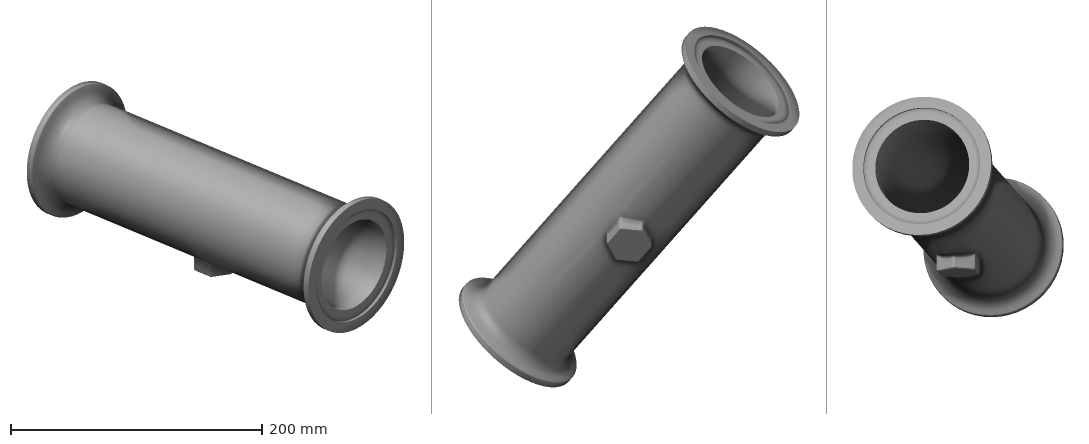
import cadquery as cq
import math

length = 304.8
bore_radius = 76.2 / 2
tube_radius = 86.3 / 2
flange_radius = 112.8 / 2
rim_width = 5.8
rim_chamfer = 0.5
recess_radius = 94.8 / 2
recess_depth = 2.5
neck_angle = 20.0
neck_radius = 12.2

boss_corner_radius = 18.3
boss_edge_fillet = 2.0
boss_bottom = -54.0
boss_root_fillet = 2.0
boss_rim_chamfer = 1.0
seam_margin = 0.3

half_length = length / 2


def make_flanged_tube():
    """Tube with a flange at each end, turned from one outline."""
    slope = math.radians(neck_angle)
    recess_x = half_length - recess_depth
    rim_x = half_length - rim_width
    back_radius = flange_radius - rim_chamfer
    root_x = rim_x - (back_radius - tube_radius) * math.tan(slope)
    tangent = neck_radius * math.tan((math.pi / 2 - slope) / 2)
    blend_x = root_x + tangent * math.sin(slope)
    blend_radius = tube_radius + tangent * math.cos(slope)
    neck_x = root_x - tangent

    outline = (
        cq.Workplane("XY")
        .moveTo(-recess_x, bore_radius)
        .lineTo(recess_x, bore_radius)
        .lineTo(recess_x, recess_radius)
        .lineTo(half_length, recess_radius)
        .lineTo(half_length, flange_radius)
        .lineTo(rim_x + rim_chamfer, flange_radius)
        .lineTo(rim_x, back_radius)
        .lineTo(blend_x, blend_radius)
        .tangentArcPoint((neck_x, tube_radius), relative=False)
        .lineTo(-neck_x, tube_radius)
        .tangentArcPoint((-blend_x, blend_radius), relative=False)
        .lineTo(-rim_x, back_radius)
        .lineTo(-rim_x - rim_chamfer, flange_radius)
        .lineTo(-half_length, flange_radius)
        .lineTo(-half_length, recess_radius)
        .lineTo(-recess_x, recess_radius)
        .close()
    )
    return outline.revolve(360, (0, 0, 0), (1, 0, 0))


def make_boss():
    """Hexagonal boss with rounded edges, running up to the bore."""
    bore = cq.Workplane("YZ").circle(bore_radius).extrude(boss_corner_radius, both=True)
    return (
        cq.Workplane("XY", origin=(0, 0, boss_bottom))
        .polygon(6, 2 * boss_corner_radius)
        .extrude(-boss_bottom)
        .edges("|Z")
        .fillet(boss_edge_fillet)
        .faces("<Z")
        .chamfer(boss_rim_chamfer)
        .cut(bore)
    )


def make_housing():
    """Flanged tube with the boss blended into its underside."""
    joined = make_flanged_tube().union(make_boss())
    reach = boss_corner_radius
    seam_top = -math.sqrt(tube_radius**2 - reach**2)
    seam = cq.selectors.BoxSelector(
        (-reach, -reach, -tube_radius - seam_margin), (reach, reach, seam_top), boundingbox=True
    )
    return joined.edges(seam).fillet(boss_root_fillet)


housing = make_housing()

result = cq.Compound.makeCompound([housing.val()])